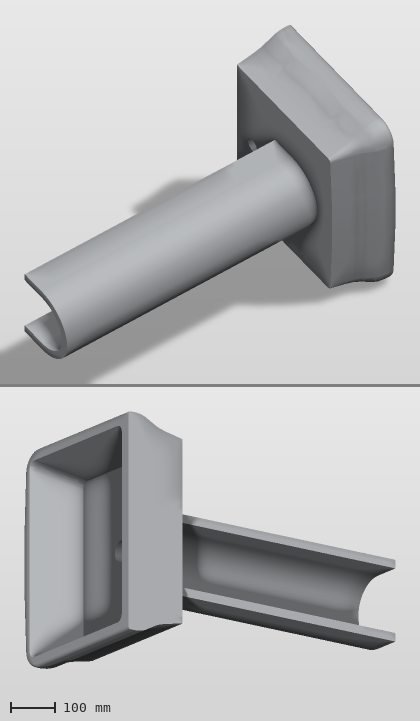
import cadquery as cq
import math

total_length = 840.0
head_width = 403.0
head_height = 511.0
head_depth = 149.5
rail_length = total_length - head_depth

bow_radius = 3091.0
corner_radius = 49.0
half_height = head_height / 2

back_edge_radius = 7.0
crown_end_depth = 18.5
waist_depth = 77.0
waist_drop = 22.0
front_drop = 39.5
front_slope = 0.24
cutter_margin = 17.0

wall = 25.0
hollow_corner_radius = 17.0

main_hole_diameter = 50.0
main_hole_x = 200.0
side_hole_diameter = 34.5
side_hole_x = 60.0

rail_outer_radius = 96.0
rail_thickness = 20.0
rail_open_x = 145.0
rail_bend_x = 212.0


def xz_plane(y):
    """Plane at the given Y, drawn in X and Z, extruding toward -Y."""
    return cq.Workplane("XZ", origin=(0, y, 0))


def rim_outline(start_x):
    """Open rim outline: top edge, corner, bowed side, corner, bottom edge."""
    bow_center_x = head_width - bow_radius
    corner_center_z = half_height - corner_radius
    center_distance = bow_radius - corner_radius
    tangent_angle = math.asin(corner_center_z / center_distance)
    corner_center_x = bow_center_x + center_distance * math.cos(tangent_angle)
    tangent_x = bow_center_x + bow_radius * math.cos(tangent_angle)
    tangent_z = bow_radius * math.sin(tangent_angle)
    middle_angle = (tangent_angle + math.pi / 2) / 2
    middle_x = corner_center_x + corner_radius * math.cos(middle_angle)
    middle_z = corner_center_z + corner_radius * math.sin(middle_angle)
    return (
        xz_plane(head_depth)
        .moveTo(start_x, half_height)
        .lineTo(corner_center_x, half_height)
        .threePointArc((middle_x, middle_z), (tangent_x, tangent_z))
        .threePointArc((head_width, 0), (tangent_x, -tangent_z))
        .threePointArc((middle_x, -middle_z), (corner_center_x, -half_height))
        .lineTo(start_x, -half_height)
    )


def make_flank_cutter():
    """Material outside the curved flank, swept around the rim."""
    start_x = -cutter_margin
    crown_y = head_depth - crown_end_depth
    waist = (head_depth - waist_depth, half_height - waist_drop)
    front = (0, half_height - front_drop)
    arc_inset = back_edge_radius * (1 - math.sqrt(0.5))
    outer_z = half_height + cutter_margin
    section = (
        cq.Workplane("YZ", origin=(start_x, 0, 0))
        .moveTo(head_depth, half_height - back_edge_radius)
        .threePointArc(
            (head_depth - arc_inset, half_height - arc_inset),
            (head_depth - back_edge_radius, half_height),
        )
        .lineTo(crown_y, half_height)
        .spline([waist, front], tangents=[(-1, 0), (-1, -front_slope)], includeCurrent=True)
        .lineTo(0, outer_z)
        .lineTo(head_depth, outer_z)
        .close()
    )
    return section.sweep(rim_outline(start_x))


def hollow_section(y, inset):
    """Rectangle inset from the rim on three sides, one wall from the flat side."""
    width = head_width - inset - wall
    return xz_plane(y).center(wall + width / 2, 0).rect(width, head_height - 2 * inset)


def make_hollow():
    floor = hollow_section(wall, wall + front_drop - wall * front_slope)
    back = hollow_section(head_depth, wall)
    solid = cq.Solid.makeLoft([floor.wires().val(), back.wires().val()], True)
    return cq.Workplane(solid).edges("not #Y").fillet(hollow_corner_radius)


def cut_wall_hole(body, x, diameter):
    hole = xz_plane(wall).center(x, 0).circle(diameter / 2).extrude(wall)
    return body.cut(hole)


def make_head():
    body = rim_outline(0).close().extrude(head_depth).cut(make_flank_cutter())
    body = body.cut(make_hollow())
    body = cut_wall_hole(body, main_hole_x, main_hole_diameter)
    return cut_wall_hole(body, side_hole_x, side_hole_diameter)


def make_rail():
    """U-section rail standing on the front face of the head."""
    inner_radius = rail_outer_radius - rail_thickness
    return (
        xz_plane(0)
        .moveTo(rail_open_x, rail_outer_radius)
        .lineTo(rail_bend_x, rail_outer_radius)
        .threePointArc((rail_bend_x + rail_outer_radius, 0), (rail_bend_x, -rail_outer_radius))
        .lineTo(rail_open_x, -rail_outer_radius)
        .lineTo(rail_open_x, -inner_radius)
        .lineTo(rail_bend_x, -inner_radius)
        .threePointArc((rail_bend_x + inner_radius, 0), (rail_bend_x, inner_radius))
        .lineTo(rail_open_x, inner_radius)
        .close()
        .extrude(rail_length)
    )


head = make_head()
rail = make_rail()
result = cq.Compound.makeCompound([head.solids().val(), rail.val()])